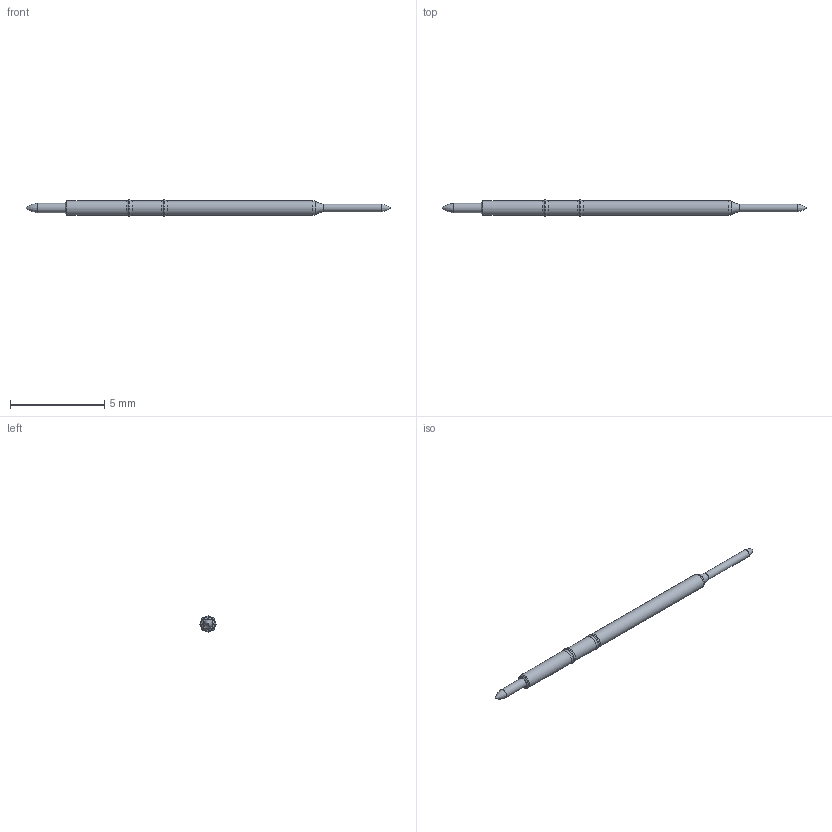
import cadquery as cq

overall_length = 19.28
front_tip_length = 0.60
barrel_start = 2.07
barrel_end = 15.20
shoulder_end = 15.31
tail_start = 15.78
rear_tip_length = 0.47
ring_positions = (5.46, 7.32)

plunger_diameter = 0.49
barrel_diameter = 0.78
ring_diameter = 0.85
tail_diameter = 0.41
tip_diameter = 0.025
lip_diameter = 0.56
shoulder_diameter = 0.72

lip_length = 0.05
mouth_round = 0.05
ring_base_width = 0.31
ring_crest_width = 0.06
ring_flank_hollow = 0.015
front_tip_bulge = 0.045
rear_tip_bulge = 0.04

plunger_radius = plunger_diameter / 2
barrel_radius = barrel_diameter / 2
ring_radius = ring_diameter / 2
tail_radius = tail_diameter / 2
tip_radius = tip_diameter / 2
lip_radius = lip_diameter / 2
shoulder_radius = shoulder_diameter / 2
mouth_start = barrel_start + lip_length
rear_tip_start = overall_length - rear_tip_length


def add_plunger(profile):
    """Outline of the front plunger: blunt point, bulging tip, cylinder."""
    return (
        profile.lineTo(0, tip_radius)
        .sagittaArc((front_tip_length, plunger_radius), front_tip_bulge)
        .lineTo(barrel_start, plunger_radius)
    )


def add_mouth(profile):
    """Outline of the barrel mouth: conical lip, then a rounded rim."""
    return (
        profile.lineTo(barrel_start, lip_radius)
        .lineTo(mouth_start, barrel_radius - mouth_round)
        .radiusArc((mouth_start + mouth_round, barrel_radius), mouth_round)
    )


def add_ring(profile, position):
    """Outline of one raised ring on the barrel: hollow flanks and a narrow flat crest."""
    return (
        profile.lineTo(position - ring_base_width / 2, barrel_radius)
        .sagittaArc((position - ring_crest_width / 2, ring_radius), -ring_flank_hollow)
        .lineTo(position + ring_crest_width / 2, ring_radius)
        .sagittaArc((position + ring_base_width / 2, barrel_radius), -ring_flank_hollow)
    )


def add_shoulder(profile):
    """Outline of the barrel end: rounded shoulder, then a hollow flare tangent to the tail."""
    shoulder_length = shoulder_end - barrel_end
    shoulder_drop = barrel_radius - shoulder_radius
    flare_length = tail_start - shoulder_end
    flare_drop = shoulder_radius - tail_radius
    shoulder_arc_radius = (shoulder_length**2 + shoulder_drop**2) / (2 * shoulder_drop)
    flare_arc_radius = (flare_length**2 + flare_drop**2) / (2 * flare_drop)
    return (
        profile.lineTo(barrel_end, barrel_radius)
        .radiusArc((shoulder_end, shoulder_radius), shoulder_arc_radius)
        .radiusArc((tail_start, tail_radius), -flare_arc_radius)
    )


def add_tail(profile):
    """Outline of the tail: cylinder, bulging tip, blunt point."""
    return (
        profile.lineTo(rear_tip_start, tail_radius)
        .sagittaArc((overall_length, tip_radius), rear_tip_bulge)
        .lineTo(overall_length, 0)
    )


half_section = add_plunger(cq.Workplane("XY"))
half_section = add_mouth(half_section)
for ring_position in ring_positions:
    half_section = add_ring(half_section, ring_position)
half_section = add_shoulder(half_section)
half_section = add_tail(half_section).close()

result = half_section.revolve(360, (0, 0, 0), (1, 0, 0))